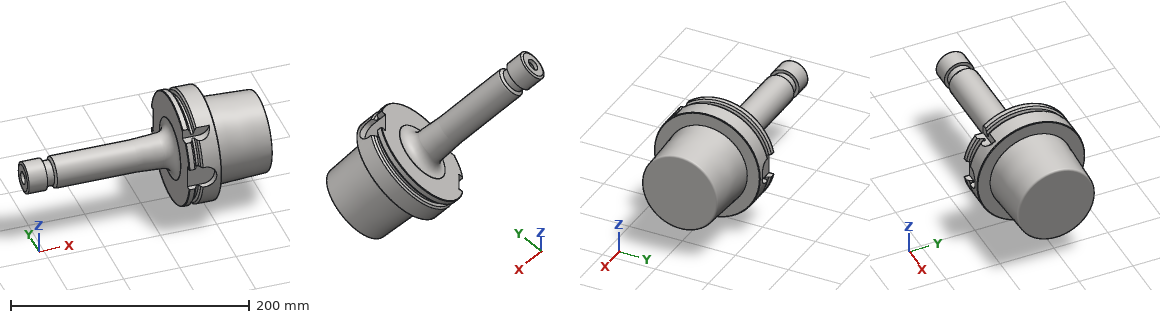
import cadquery as cq

total_length = 210.0

nose_radius = 28.0 / 2
nose_length = 17.2
nose_chamfer_length = 0.8
nose_face_radius = 11.8
neck_radius = 22.0 / 2
neck_end = 24.4
shank_bevel_end = 26.0
shank_bevel_radius = 13.6
shank_start = 27.3
shank_end = 97.6
cone_end = 120.0
cone_radius = 30.5 / 2
bore_mouth_diameter = 11.0
bore_mouth_depth = 3.4
bore_diameter = 10.0
bore_depth = 12.5

flange_radius = 50.0
flange_front = 131.0
flange_back = 159.5
flange_chamfer = 0.6
fillet_radius = 10.0
collar_radius = 27.3
collar_height = 0.2

groove_center = 139.6
groove_floor_width = 2.0
groove_depth = 4.2
groove_shoulder_width = 4.2
groove_lip_depth = 1.7
groove_mouth_width = 7.4
groove_clearance = 2.0

taper_base_radius = 38.0
taper_end_radius = 35.7
taper_edge_fillet = 1.9

key_floor = 43.9
key_end = 155.2
key_corner_radius = 10.0
front_key_width = 20.0
rear_key_width = 22.0
notch_offset = 31.0


def make_body():
    """Solid of revolution: nose, neck, shank, root fillet, flange and taper."""
    fillet_start = flange_front - collar_height - fillet_radius
    fillet_end_radius = cone_radius + fillet_radius
    diagonal = fillet_radius * 0.5 ** 0.5
    fillet_middle = (fillet_start + diagonal, fillet_end_radius - diagonal)
    rim_radius = flange_radius - flange_chamfer
    body = (
        cq.Workplane("XY")
        .moveTo(0, 0)
        .lineTo(0, nose_face_radius)
        .lineTo(nose_chamfer_length, nose_radius)
        .lineTo(nose_length, nose_radius)
        .lineTo(nose_length, neck_radius)
        .lineTo(neck_end, neck_radius)
        .lineTo(shank_bevel_end, shank_bevel_radius)
        .lineTo(shank_start, nose_radius)
        .lineTo(shank_end, nose_radius)
        .lineTo(cone_end, cone_radius)
        .lineTo(fillet_start, cone_radius)
        .threePointArc(fillet_middle, (flange_front - collar_height, fillet_end_radius))
        .lineTo(flange_front - collar_height, collar_radius - collar_height)
        .lineTo(flange_front, collar_radius)
        .lineTo(flange_front, rim_radius)
        .lineTo(flange_front + flange_chamfer, flange_radius)
        .lineTo(flange_back - flange_chamfer, flange_radius)
        .lineTo(flange_back, rim_radius)
        .lineTo(flange_back, taper_base_radius)
        .lineTo(total_length, taper_end_radius)
        .lineTo(total_length, 0)
        .close()
        .revolve(360, (0, 0, 0), (1, 0, 0))
    )
    return body.faces(">X").edges().fillet(taper_edge_fillet)


def make_groove():
    """Ring with steep walls and a wider bevelled mouth."""
    floor_radius = flange_radius - groove_depth
    shoulder_radius = flange_radius - groove_lip_depth
    half_profile = [
        (groove_floor_width / 2, floor_radius),
        (groove_shoulder_width / 2, shoulder_radius),
        (groove_mouth_width / 2, flange_radius),
        (groove_mouth_width / 2, flange_radius + groove_clearance),
    ]
    right_side = [(groove_center + x, r) for x, r in half_profile]
    left_side = [(groove_center - x, r) for x, r in reversed(half_profile)]
    return (
        cq.Workplane("XY")
        .polyline(right_side + left_side)
        .close()
        .revolve(360, (0, 0, 0), (1, 0, 0))
    )


def make_keyway(width, side):
    """Flat-floored slot open at the flange front; side is -1 or +1 along Y.

    The closed end is two quarter arcs, which merge into one half circle when
    the width is no more than twice the corner radius.
    """
    corner_radius = min(key_corner_radius, width / 2)
    flat_half = width / 2 - corner_radius
    arc_start = key_end - corner_radius
    diagonal = corner_radius * 0.5 ** 0.5
    outline = (
        cq.Workplane("XZ")
        .moveTo(flange_front, -width / 2)
        .lineTo(arc_start, -width / 2)
    )
    if flat_half > 0:
        outline = (
            outline
            .threePointArc((arc_start + diagonal, -flat_half - diagonal), (key_end, -flat_half))
            .lineTo(key_end, flat_half)
            .threePointArc((arc_start + diagonal, flat_half + diagonal), (arc_start, width / 2))
        )
    else:
        outline = outline.threePointArc((key_end, 0), (arc_start, width / 2))
    depth = flange_radius - key_floor
    cutter = outline.lineTo(flange_front, width / 2).close().extrude(depth)
    start_y = -key_floor if side < 0 else flange_radius
    return cutter.translate((0, start_y, 0))


def make_notch():
    """Square corner cut at -Y, +Z whose floor sweeps up in an arc at its end."""
    length = key_end - flange_front
    size = flange_radius - notch_offset
    return (
        cq.Workplane("XY")
        .box(length, size, size, centered=False)
        .translate((flange_front, -flange_radius, notch_offset))
        .edges("|Y and >X and <Z")
        .fillet(key_corner_radius)
    )


def make_bore():
    """Blind hole in the nose face with a slightly wider mouth."""
    mouth = cq.Workplane("YZ").circle(bore_mouth_diameter / 2).extrude(bore_mouth_depth)
    return cq.Workplane("YZ").circle(bore_diameter / 2).extrude(bore_depth).union(mouth)


result = (
    make_body()
    .cut(make_groove())
    .cut(make_keyway(front_key_width, -1))
    .cut(make_keyway(rear_key_width, 1))
    .cut(make_notch())
    .cut(make_bore())
)